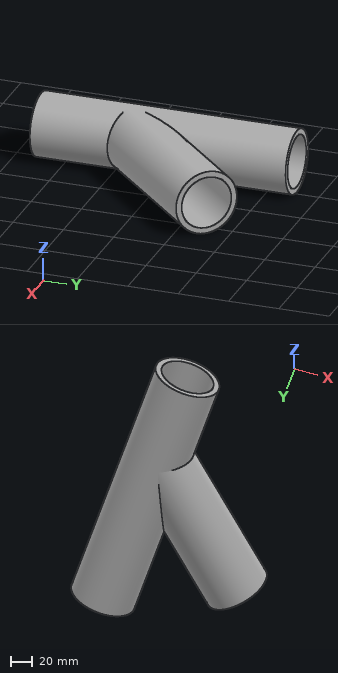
import cadquery as cq
import math

outer_diameter = 63.0
wall_thickness = 5.8
inner_diameter = outer_diameter - 2 * wall_thickness

run_length = 254.0

branch_angle = math.radians(45.0)
branch_length = 164.0
junction_from_end = 90.0

run_start = cq.Vector(0, -run_length / 2, 0)
run_direction = cq.Vector(0, 1, 0)
junction = run_start + run_direction * junction_from_end
branch_direction = cq.Vector(math.sin(branch_angle), math.cos(branch_angle), 0)


def cylinder(diameter, length, start, direction):
    """Solid cylinder growing from start along direction."""
    return cq.Workplane(cq.Solid.makeCylinder(diameter / 2, length, start, direction))


def wye_shape(diameter):
    """Run and branch cylinders of one diameter, joined."""
    run = cylinder(diameter, run_length, run_start, run_direction)
    branch = cylinder(diameter, branch_length, junction, branch_direction)
    return run.union(branch)


wye = wye_shape(outer_diameter).cut(wye_shape(inner_diameter))
result = cq.Workplane(wye.solids().val())